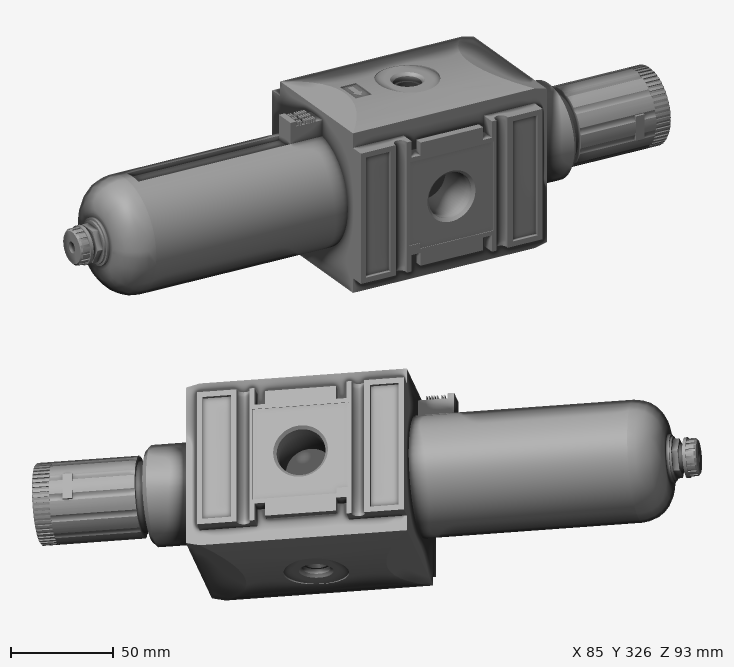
import cadquery as cq
import math


overall_length = 326.0
overall_width = 85.0
knob_end = overall_length / 2
drain_end = -overall_length / 2

block_half_width = 35.0
housing_rear = 77.3
housing_front = -25.0
housing_mid = (housing_rear + housing_front) / 2
crest_height = 46.5
edge_height = 42.7
slope_length = 16.0

flange_face = overall_width / 2
flange_half_height = 35.0

clamp_groove_offset = 28.5
clamp_groove_diameter = 6.5
clamp_groove_inset = 1.0
panel_offset = 41.5
panel_width = 14.0
panel_height = 64.2
panel_depth = 2.0

edge_recess_length = 45.3
edge_recess_floor = 26.0
tongue_length = 35.2
tongue_thickness = 4.0
tongue_height = 33.0

seat_size = 47.5
seat_depth = 0.3
seat_tab_length = 6.0
seat_tab_height = 3.0
port_diameter = 24.0
port_mouth_diameter = 27.0
port_depth = 26.0

gauge_seat_diameter = 32.0
gauge_seat_height = 45.5
gauge_mouth_diameter = 17.0
gauge_bore_diameter = 14.0
gauge_bore_depth = 4.0
gauge_core_diameter = 11.5
gauge_core_depth = 9.8

plate_length = 15.3
plate_width = 9.0
plate_center_y = -3.0
plate_floor = 45.5
arrow_height = 0.5
arrow_tail_x = -5.5
arrow_neck_x = 1.3
arrow_tip_x = 5.2
arrow_shaft_half_width = 1.47
arrow_head_half_width = 2.77

adjuster_plate_rear = 84.0
bonnet_rear = 108.0
bonnet_diameter = 50.0
bonnet_chamfer = 2.3
neck_diameter = 35.0
knob_front = 112.0
knob_diameter = 40.5
flute_count = 12
land_angle = 20.0
flute_radius = 3.3
knurl_front = 154.5
knurl_count = 48
knurl_width = 1.3
knurl_depth = 0.8
knob_end_chamfer = 0.5
pad_center_y = 145.5
pad_length = 5.0
pad_height = 13.0

bowl_diameter = 60.0
bowl_shoulder = -133.0
bowl_end_diameter = 28.5
sight_slot_width = 11.0
sight_slot_rear = -42.7
sight_slot_front = -128.8
sight_slot_floor = 27.0

latch_width = 11.0
latch_front = -43.0
latch_top = 38.0
latch_lip_top = 40.8
latch_lip_thickness = 3.3
grip_top = 40.0
rear_grip_start = -29.0
rear_grip_rows = 5
front_grip_start = -36.5
front_grip_rows = 2
grip_row_pitch = 1.3
grip_row_length = 0.5
grip_columns = 3
grip_column_gap = 1.3
grip_column_pitch = (latch_width + grip_column_gap) / grip_columns
grip_pad_width = grip_column_pitch - grip_column_gap

lock_groove_inner_x = -11.5
lock_groove_outer_x = -17.0
lock_groove_inner_floor = 26.0
lock_groove_outer_floor = 24.8

rim_diameter = 24.0
rim_front = -150.3
collar_diameter = 22.0
collar_front = -151.3
drain_hex_width = 17.0
drain_hex_front = -154.2
drain_neck_diameter = 14.0
drain_flange_rear = -156.5
drain_flange_front = -158.0
drain_flange_diameter = 20.0
drain_knob_diameter = 18.5
drain_face_diameter = 16.5
drain_face_chamfer = (drain_knob_diameter - drain_face_diameter) / 2
drain_groove_count = 16
drain_groove_width = 1.3
drain_groove_depth = 0.5
drain_bore_diameter = 4.0
drain_bore_mouth_diameter = 6.0
drain_bore_depth = 5.0


def box_between(x0, x1, y0, y1, z0, z1):
    """Axis-aligned box spanning the given coordinates."""
    size = (abs(x1 - x0), abs(y1 - y0), abs(z1 - z0))
    center = ((x0 + x1) / 2, (y0 + y1) / 2, (z0 + z1) / 2)
    return cq.Workplane("XY").box(*size).translate(center)


def round_bar(diameter, y_front, y_rear):
    """Cylinder about the Y axis, from y_front back to y_rear."""
    sketch = cq.Workplane("XZ", origin=(0, y_front, 0)).circle(diameter / 2)
    return sketch.extrude(-(y_rear - y_front))


def add_mirrored(shape, plane):
    """The shape together with its mirror image."""
    return shape.union(shape.mirror(plane))


def countersink_hole(bore, mouth, depth):
    """Hole going down from the origin along -Z, with a 45 degree countersink."""
    sink = (mouth - bore) / 2
    profile = [(0, 0), (mouth / 2, 0), (bore / 2, -sink), (bore / 2, -depth), (0, -depth)]
    return cq.Workplane("XZ").polyline(profile).close().revolve(360, (0, 0, 0), (0, 1, 0))


def crowned_outline():
    """Y-Z outline of the block and the adjuster plate behind it, sloping at both ends."""
    slope = (crest_height - edge_height) / slope_length
    rear_height = edge_height - slope * (adjuster_plate_rear - housing_rear)
    upper = [
        (adjuster_plate_rear, rear_height),
        (housing_rear - slope_length, crest_height),
        (housing_front + slope_length, crest_height),
        (housing_front, edge_height),
    ]
    lower = [(y, -z) for y, z in reversed(upper)]
    return cq.Workplane("YZ").polyline(upper + lower).close().extrude(block_half_width, both=True)


def crowned_block():
    """Block with arched top and bottom, before it is divided into housing and adjuster plate."""
    arched = (
        cq.Workplane("XZ", origin=(0, housing_front, 0))
        .moveTo(-block_half_width, edge_height)
        .threePointArc((0, crest_height), (block_half_width, edge_height))
        .lineTo(block_half_width, -edge_height)
        .threePointArc((0, -crest_height), (-block_half_width, -edge_height))
        .close()
        .extrude(-(adjuster_plate_rear - housing_front))
    )
    return arched.intersect(crowned_outline())


def block_section(y_front, y_rear):
    """Slice of the crowned block between two Y positions."""
    slab = box_between(
        -block_half_width, block_half_width, y_front, y_rear, -crest_height, crest_height
    )
    return crowned_block().intersect(slab)


def flange_edge_recess():
    """Recess in the top edge of the -X flange, around its tongue."""
    recess = box_between(
        -flange_face, -block_half_width,
        housing_mid - edge_recess_length / 2, housing_mid + edge_recess_length / 2,
        edge_recess_floor, flange_half_height,
    )
    tongue = box_between(
        -flange_face, -flange_face + tongue_thickness,
        housing_mid - tongue_length / 2, housing_mid + tongue_length / 2,
        edge_recess_floor, tongue_height,
    )
    return recess.cut(tongue)


def port_seat():
    """Shallow square seat in the -X flange, with one corner left standing."""
    half = seat_size / 2
    seat = box_between(
        -flange_face, -flange_face + seat_depth,
        housing_mid - half, housing_mid + half, -half, half,
    )
    corner = box_between(
        -flange_face, -flange_face + seat_depth,
        housing_mid - half, housing_mid - half + seat_tab_length, -half, -half + seat_tab_height,
    )
    return seat.cut(corner)


def flange():
    """Connection flange on the -X side, without its port."""
    plate = box_between(
        -flange_face, -block_half_width, housing_front, housing_rear,
        -flange_half_height, flange_half_height,
    )
    for side in (-1, 1):
        clamp_groove = (
            cq.Workplane("XY")
            .center(-flange_face + clamp_groove_inset, housing_mid + side * clamp_groove_offset)
            .circle(clamp_groove_diameter / 2)
            .extrude(flange_half_height, both=True)
        )
        panel_y = housing_mid + side * panel_offset
        panel = box_between(
            -flange_face, -flange_face + panel_depth,
            panel_y - panel_width / 2, panel_y + panel_width / 2,
            -panel_height / 2, panel_height / 2,
        )
        plate = plate.cut(clamp_groove).cut(panel)
    return plate.cut(add_mirrored(flange_edge_recess(), "XY")).cut(port_seat())


def side_port():
    """Port hole entering from the -X side."""
    hole = countersink_hole(port_diameter, port_mouth_diameter, port_depth)
    hole = hole.rotate((0, 0, 0), (0, 1, 0), -90)
    return hole.translate((-flange_face + seat_depth, housing_mid, 0))


def gauge_port():
    """Flat round seat in the crowned top with a stepped hole."""
    seat = cq.Workplane("XY").circle(gauge_seat_diameter / 2).extrude(crest_height - gauge_seat_height)
    bore = countersink_hole(gauge_bore_diameter, gauge_mouth_diameter, gauge_bore_depth)
    core = cq.Workplane("XY").circle(gauge_core_diameter / 2).extrude(-gauge_core_depth)
    return seat.union(bore).union(core).translate((0, housing_mid, gauge_seat_height))


def flow_plate():
    """Rectangular recess around a raised arrow that points to +X."""
    recess = box_between(
        -plate_length / 2, plate_length / 2,
        plate_center_y - plate_width / 2, plate_center_y + plate_width / 2,
        plate_floor, crest_height,
    )
    upper = [
        (arrow_tail_x, arrow_shaft_half_width),
        (arrow_neck_x, arrow_shaft_half_width),
        (arrow_neck_x, arrow_head_half_width),
        (arrow_tip_x, 0),
    ]
    lower = [(x, -y) for x, y in reversed(upper[:-1])]
    arrow = (
        cq.Workplane("XY", origin=(0, plate_center_y, plate_floor))
        .polyline(upper + lower)
        .close()
        .extrude(arrow_height)
    )
    return recess.cut(arrow)


def make_housing():
    body = block_section(housing_front, housing_rear).union(add_mirrored(flange(), "YZ"))
    body = body.cut(add_mirrored(side_port(), "YZ"))
    body = body.cut(add_mirrored(gauge_port(), "XY"))
    return body.cut(flow_plate())


def fluted_barrel():
    """Knob barrel with shallow round flutes between wide lands."""
    barrel = round_bar(knob_diameter, knob_front, knurl_front)
    half_gap = math.radians((360 / flute_count - land_angle) / 2)
    half_chord = knob_diameter / 2 * math.sin(half_gap)
    edge_distance = knob_diameter / 2 * math.cos(half_gap)
    cutter_distance = edge_distance + math.sqrt(flute_radius**2 - half_chord**2)
    flute = round_bar(2 * flute_radius, knob_front, knurl_front).translate((0, 0, cutter_distance))
    for index in range(flute_count):
        angle = (index + 0.5) * 360 / flute_count
        barrel = barrel.cut(flute.rotate((0, 0, 0), (0, 1, 0), angle))
    return barrel


def knurled_end():
    """End ring of the knob with fine axial grooves."""
    ring = round_bar(knob_diameter, knurl_front, knob_end).faces(">Y").chamfer(knob_end_chamfer)
    cutter = box_between(
        -knurl_width / 2, knurl_width / 2, knurl_front, knob_end,
        knob_diameter / 2 - knurl_depth, knob_diameter,
    )
    for index in range(knurl_count):
        ring = ring.cut(cutter.rotate((0, 0, 0), (0, 1, 0), index * 360 / knurl_count))
    return ring


def knob():
    """Adjusting knob with a flat raised pad on each X side."""
    pad = box_between(
        -knob_diameter / 2, 0,
        pad_center_y - pad_length / 2, pad_center_y + pad_length / 2,
        -pad_height / 2, pad_height / 2,
    )
    return fluted_barrel().union(add_mirrored(pad, "YZ")).union(knurled_end())


def make_adjuster():
    bonnet = round_bar(bonnet_diameter, adjuster_plate_rear, bonnet_rear)
    bonnet = bonnet.faces(">Y").chamfer(bonnet_chamfer)
    neck = round_bar(neck_diameter, bonnet_rear, knob_front)
    plate = block_section(housing_rear, adjuster_plate_rear)
    return plate.union(bonnet).union(neck).union(knob())


def bowl_shell():
    """Round bowl with a quarter-round shoulder down to its flat end."""
    radius = bowl_diameter / 2
    end_radius = bowl_end_diameter / 2
    shoulder_radius = radius - end_radius
    diagonal = shoulder_radius * math.sqrt(0.5)
    shoulder_middle = (end_radius + diagonal, bowl_shoulder - diagonal)
    bowl_end = bowl_shoulder - shoulder_radius
    return (
        cq.Workplane("XY")
        .moveTo(0, housing_front)
        .lineTo(radius, housing_front)
        .lineTo(radius, bowl_shoulder)
        .threePointArc(shoulder_middle, (end_radius, bowl_end))
        .lineTo(0, bowl_end)
        .close()
        .revolve(360, (0, 0, 0), (0, 1, 0))
    )


def grip_pads(start_y, row_count):
    """Rows of grip pads across the latch, from start_y towards the front."""
    pads = cq.Workplane("XY")
    for row in range(row_count):
        y_rear = start_y - row * grip_row_pitch
        for column in range(grip_columns):
            x = (column - (grip_columns - 1) / 2) * grip_column_pitch
            pad = box_between(
                x - grip_pad_width / 2, x + grip_pad_width / 2,
                y_rear - grip_row_length, y_rear, latch_top, grip_top,
            )
            pads = pads.add(pad)
    return pads.combine()


def latch():
    """Latch block on the bowl with a front lip and two groups of grip pads."""
    half = latch_width / 2
    block = box_between(-half, half, latch_front, housing_front, 0, latch_top)
    lip = box_between(-half, half, latch_front, latch_front + latch_lip_thickness, 0, latch_lip_top)
    rear_grip = grip_pads(rear_grip_start, rear_grip_rows)
    front_grip = grip_pads(front_grip_start, front_grip_rows)
    return block.union(lip).union(rear_grip).union(front_grip)


def lock_groove():
    """Groove in the bowl beside the latch, with an upright inner wall and a sloping floor."""
    section = [
        (lock_groove_inner_x, lock_groove_inner_floor),
        (lock_groove_outer_x, lock_groove_outer_floor),
        (lock_groove_outer_x, bowl_diameter / 2),
        (lock_groove_inner_x, bowl_diameter / 2),
    ]
    sketch = cq.Workplane("XZ", origin=(0, latch_front, 0)).polyline(section).close()
    return sketch.extrude(-(housing_front - latch_front))


def drain_valve():
    """Rim, collar, hexagon, neck, flange and grooved knob at the end of the bowl."""
    hex_corner_diameter = drain_hex_width / math.cos(math.pi / 6)
    hexagon = (
        cq.Workplane("XZ", origin=(0, drain_hex_front, 0))
        .polygon(6, hex_corner_diameter)
        .extrude(-(collar_front - drain_hex_front))
    )
    turning_knob = round_bar(drain_knob_diameter, drain_end, drain_flange_front)
    turning_knob = turning_knob.faces("<Y").chamfer(drain_face_chamfer)
    cutter = box_between(
        -drain_groove_width / 2, drain_groove_width / 2, drain_end, drain_flange_front,
        drain_knob_diameter / 2 - drain_groove_depth, drain_knob_diameter,
    )
    for index in range(drain_groove_count):
        turned = cutter.rotate((0, 0, 0), (0, 1, 0), index * 360 / drain_groove_count)
        turning_knob = turning_knob.cut(turned)

    bore = countersink_hole(drain_bore_diameter, drain_bore_mouth_diameter, drain_bore_depth)
    bore = bore.rotate((0, 0, 0), (1, 0, 0), 90).translate((0, drain_end, 0))
    return (
        round_bar(rim_diameter, rim_front, bowl_shoulder)
        .union(round_bar(collar_diameter, collar_front, bowl_shoulder))
        .union(hexagon)
        .union(round_bar(drain_neck_diameter, drain_flange_rear, drain_hex_front))
        .union(round_bar(drain_flange_diameter, drain_flange_front, drain_flange_rear))
        .union(turning_knob)
        .cut(bore)
    )


def make_bowl():
    sight_slot = box_between(
        -sight_slot_width / 2, sight_slot_width / 2, sight_slot_front, sight_slot_rear,
        sight_slot_floor, bowl_diameter,
    )
    shell = bowl_shell().cut(sight_slot).cut(lock_groove())
    return shell.union(latch()).union(drain_valve())


housing = make_housing()
adjuster = make_adjuster()
bowl = make_bowl()

result = cq.Compound.makeCompound([housing.solids().val(), adjuster.solids().val(), bowl.solids().val()])